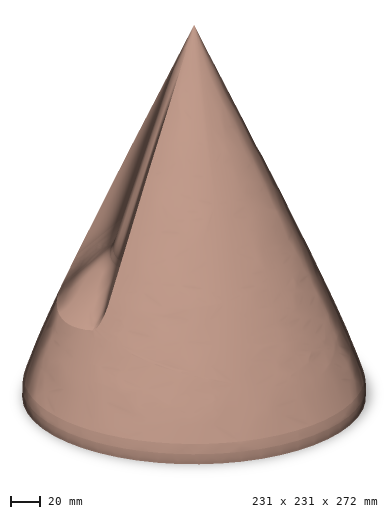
import cadquery as cq

height = 272.0
base_radius = 115.5
rim_height = 11.0
rim_blend_radius = 21.8
flank_points = [(110.0, 27.2), (90.0, 76.2), (51.0, 163.2)]

recess_angle = 60.0
recess_top_radius = 6.3
recess_top = 258.5
floor_bend_radius = 19.3
floor_bend_height = 223.0
floor_slope = 0.31

ramp_foot_y = -96.8
ramp_foot_height = 65.3
ramp_radius = 141.5
ramp_blend_radius = 8.7


def make_body():
    body = (
        cq.Workplane("XZ")
        .lineTo(base_radius, 0)
        .lineTo(base_radius, rim_height)
        .spline(flank_points + [(0, height)], includeCurrent=True)
        .close()
        .revolve(360, (0, 0, 0), (0, 1, 0))
    )
    rim = cq.selectors.NearestToPointSelector((0, 0, rim_height))
    return body.edges("%CIRCLE").edges(rim).fillet(rim_blend_radius)


def make_ramp():
    """Upright 45 degree cone whose front passes through the foot of the ramp."""
    return (
        cq.Workplane("XZ")
        .lineTo(ramp_radius, 0)
        .lineTo(0, ramp_radius)
        .close()
        .revolve(360, (0, 0, 0), (0, 1, 0))
        .translate((0, ramp_foot_y + ramp_radius, ramp_foot_height))
    )


def make_recess():
    """Sector outside the conical floor and above the ramp."""
    floor_end_radius = floor_bend_radius + floor_slope * (floor_bend_height - ramp_foot_height)
    sector = (
        cq.Workplane("XZ")
        .moveTo(recess_top_radius, recess_top)
        .spline(
            [(floor_bend_radius, floor_bend_height)],
            tangents=[(recess_top_radius, recess_top - height), (floor_slope, -1)],
            includeCurrent=True,
        )
        .lineTo(floor_end_radius, ramp_foot_height)
        .lineTo(base_radius, ramp_foot_height)
        .lineTo(base_radius, recess_top)
        .close()
        .revolve(recess_angle, (0, 0, 0), (0, 1, 0))
    )
    sector = sector.rotate((0, 0, 0), (0, 0, 1), -90 - recess_angle / 2)
    recess = sector.cut(make_ramp())
    floor_edge = cq.selectors.NearestToPointSelector(find_floor_edge())
    ramp_edges = recess.edges("%HYPERBOLA").add(recess.edges(floor_edge))
    return recess.newObject([recess.val().fillet(ramp_blend_radius, ramp_edges.vals())])


def find_floor_edge():
    """Point on the -Y side where the floor runs into the ramp."""
    ramp_reach = ramp_foot_height - ramp_foot_y
    floor_reach = floor_bend_radius + floor_slope * floor_bend_height
    z = (ramp_reach - floor_reach) / (1 - floor_slope)
    return (0, z - ramp_reach, z)


result = make_body().cut(make_recess())